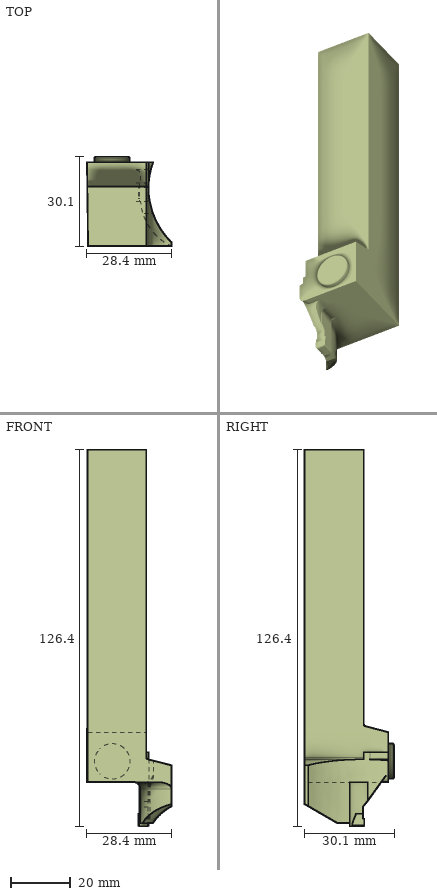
import cadquery as cq

total_height = 126.4
shank_width = 20.0
shank_depth = 20.0
side_taper = 0.4
head_width = 28.4
head_depth = 28.2
head_bottom = 14.8

back_ramp_top = 33.7
back_ramp_end = 31.6
side_ramp_top = 22.6
side_ramp_end = 20.5
ramp_fillet = 0.6
pad_width = 0.9
pad_top = 24.9

relief_radius = 25.3
relief_center = (46.0, 19.5)

blade_face = 18.0
blade_mid = (22.4, 4.5)
blade_bottom = 1.0
blade_front_bottom = 7.5
blade_bevel_y = 11.1
blade_back = 25.8
blade_fillet = 2.1

insert_face = 17.5
insert_front = 15.2
insert_back = 21.2
insert_shoulder = 8.5
insert_right = 20.8
tip_back = 19.7
tip_top = 6.6
land_offset = 0.4
land_height = 4.2
land_top_y = 17.3
land_bottom_y = 16.0
land_bottom = 0.9
lip_bottom = 0.3
lip_top = 2.5
tip_chamfer = 0.4

screw_diameter = 11.9
screw_height = 1.9
screw_fillet = 0.6
screw_x = 8.5
screw_z = 21.9


def side_prism(points, x_start, x_end):
    """Prism along X from a closed outline of (y, z) points."""
    return cq.Workplane("YZ").workplane(offset=x_start).polyline(points).close().extrude(x_end - x_start)


def relief_cylinder():
    return cq.Workplane("XY").center(*relief_center).circle(relief_radius).extrude(total_height)


def make_shank_and_back():
    """Square shank with the back step of the head, its -X face slightly tapered."""
    profile = [
        (0, head_bottom),
        (head_depth, head_bottom),
        (head_depth, back_ramp_end),
        (shank_depth, back_ramp_top),
        (shank_depth, total_height),
        (0, total_height),
    ]
    plan = (
        cq.Workplane("XY")
        .polyline([(side_taper, 0), (shank_width, 0), (shank_width, head_depth), (0, head_depth)])
        .close()
        .extrude(total_height)
    )
    return side_prism(profile, 0, shank_width).intersect(plan)


def make_side_head():
    """Side step of the head, with a small pad above its ramp at the back."""
    step = (
        cq.Workplane("XZ")
        .moveTo(shank_width, head_bottom)
        .lineTo(head_width, head_bottom)
        .lineTo(head_width, side_ramp_end)
        .lineTo(shank_width, side_ramp_top)
        .close()
        .extrude(-head_depth)
    )
    pad = cq.Workplane("XY").box(
        pad_width, head_depth - shank_depth, pad_top - head_bottom, centered=False
    ).translate((shank_width, shank_depth, head_bottom))
    return step.union(pad).cut(relief_cylinder())


def make_blade():
    """Curved wall with a bevelled front bottom corner and a sloping back edge."""
    plan = (
        cq.Workplane("XY")
        .moveTo(head_width, 0)
        .threePointArc(blade_mid, (blade_face, insert_front))
        .lineTo(blade_face, head_depth)
        .lineTo(head_width, head_depth)
        .close()
        .extrude(head_bottom)
    )
    profile = [
        (0, head_bottom),
        (0, blade_front_bottom),
        (blade_bevel_y, blade_bottom),
        (insert_front, blade_bottom),
        (insert_back, insert_shoulder),
        (blade_back, head_bottom),
    ]
    return plan.intersect(side_prism(profile, 0, head_width)).cut(relief_cylinder())


def insert_slot():
    return cq.Workplane("XY").box(
        head_width, insert_back - insert_front, head_bottom, centered=False
    ).translate((0, insert_front, 0))


def make_screw_head():
    return (
        cq.Workplane("XZ", origin=(screw_x, head_depth, screw_z))
        .circle(screw_diameter / 2)
        .extrude(-screw_height)
        .faces(">Y")
        .edges()
        .fillet(screw_fillet)
    )


def make_holder():
    holder = make_shank_and_back().union(make_side_head()).union(make_blade())
    corner = cq.selectors.BoxSelector(
        (blade_face - 1.3, -0.1, head_bottom - 0.1),
        (blade_mid[0] + 2.5, head_depth, head_bottom + 0.1),
    )
    root_edges = holder.edges(corner).edges("not #Y").edges("not #X")
    holder = root_edges.fillet(blade_fillet)
    back_foot = cq.selectors.NearestToPointSelector((shank_width / 2, shank_depth, back_ramp_top))
    side_foot = cq.selectors.NearestToPointSelector((shank_width, shank_depth / 2, side_ramp_top))
    holder = holder.edges(back_foot).fillet(ramp_fillet)
    holder = holder.edges(side_foot).fillet(ramp_fillet)
    return holder.cut(insert_slot()).union(make_screw_head())


def make_insert():
    """Upright insert with wider side lands and a raised lip at its cutting tip."""
    body = side_prism(
        [
            (insert_front, 0),
            (tip_back, 0),
            (tip_back, tip_top),
            (insert_back, insert_shoulder),
            (insert_back, head_bottom),
            (insert_front, head_bottom),
        ],
        insert_face,
        insert_right - land_offset,
    )
    land = side_prism(
        [
            (land_bottom_y, 0),
            (tip_back, 0),
            (tip_back + land_offset, lip_bottom),
            (tip_back + land_offset, lip_top),
            (tip_back, lip_top),
            (tip_back, land_height),
            (land_top_y, land_height),
            (land_bottom_y, land_bottom),
        ],
        insert_face - land_offset,
        insert_right,
    )
    land = land.faces("<Z").edges("|Y").chamfer(tip_chamfer)
    return body.union(land)


holder = make_holder()
insert = make_insert()
result = cq.Compound.makeCompound([holder.val(), insert.val()])